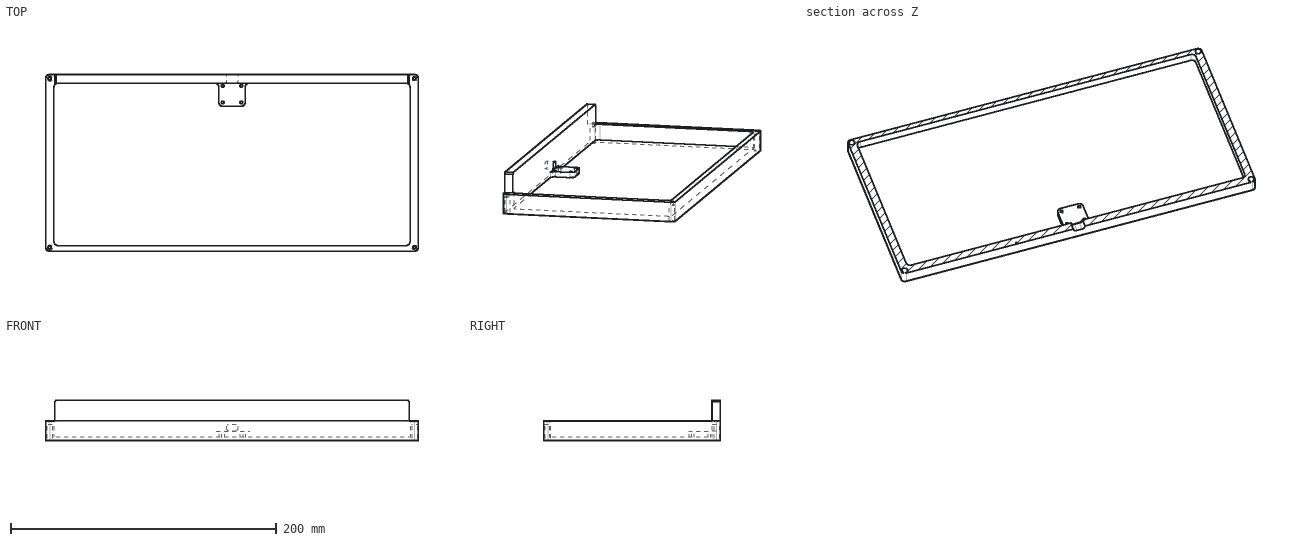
import cadquery as cq

LENGTH = 281.18
WIDTH = 133.41
TRAY_HEIGHT = 15.0
FLOOR = 3.0
SIDE_WALL = 6.3
FRONT_WALL = 4.3
BACK_WALL = 6.5
CORNER_RADIUS = 3.0

TOTAL_HEIGHT = 30.61
BACK_WALL_LENGTH = 267.8
BACK_WALL_CHAMFER = 1.4

CORNER_HOLE_DIAMETER = 2.2
CORNER_HOLE_INSET = CORNER_RADIUS
COUNTERBORE_DIAMETER = 4.0
COUNTERBORE_DEPTH = 12.5

PAD_LENGTH = 20.0
PAD_WIDTH = 17.5
PAD_HEIGHT = 4.0
PAD_RADIUS = 3.0
PAD_HOLE_DIAMETER = 2.0
PAD_HOLE_SPACING_X = 14.0
PAD_HOLE_SPACING_Y = 12.5
PAD_HOLE_BACK_GAP = 2.1

SLOT_LENGTH = 9.0
SLOT_HEIGHT = 5.0
SLOT_CENTER_Z = 10.0

CAVITY_LENGTH = LENGTH - 2 * SIDE_WALL
CAVITY_FRONT = -WIDTH / 2 + FRONT_WALL
CAVITY_BACK = WIDTH / 2 - BACK_WALL
CAVITY_WIDTH = CAVITY_BACK - CAVITY_FRONT


def block(length, width, height, y_front, z_bottom):
    """Box centred on X, starting at y_front and z_bottom."""
    base = cq.Workplane("XY", origin=(0, y_front, z_bottom))
    return base.box(length, width, height, centered=(True, False, False))


def tray():
    """Open tray with rounded corners inside and out."""
    outer = block(LENGTH, WIDTH, TRAY_HEIGHT, -WIDTH / 2, 0)
    cavity = block(CAVITY_LENGTH, CAVITY_WIDTH, TRAY_HEIGHT - FLOOR, CAVITY_FRONT, FLOOR)
    return outer.edges("|Z").fillet(CORNER_RADIUS).cut(cavity.edges("|Z").fillet(CORNER_RADIUS))


def back_wall():
    """Tall wall along the back, with both upper ends chamfered."""
    wall = block(BACK_WALL_LENGTH, BACK_WALL, TOTAL_HEIGHT - FLOOR, CAVITY_BACK, FLOOR)
    return wall.edges(">Z and |Y").chamfer(BACK_WALL_CHAMFER)


def pad():
    """Pad with rounded front corners and concave fillets where its sides meet the back wall."""
    half = PAD_LENGTH / 2
    body = block(PAD_LENGTH, PAD_WIDTH, PAD_HEIGHT, CAVITY_BACK - PAD_WIDTH, FLOOR)
    body = body.edges("|Z and <Y").fillet(PAD_RADIUS)
    for side in (-1, 1):
        flare = (
            cq.Workplane("XY", origin=(0, 0, FLOOR))
            .moveTo(side * half, CAVITY_BACK)
            .lineTo(side * half, CAVITY_BACK - PAD_RADIUS)
            .radiusArc((side * (half + PAD_RADIUS), CAVITY_BACK), side * PAD_RADIUS)
            .close()
            .extrude(PAD_HEIGHT)
        )
        body = body.union(flare)
    return body


def corner_holes():
    """Through holes in the four tray corners and the wider counterbores below them."""
    spacing_x = LENGTH - 2 * CORNER_HOLE_INSET
    spacing_y = WIDTH - 2 * CORNER_HOLE_INSET
    pattern = cq.Workplane("XY").rect(spacing_x, spacing_y, forConstruction=True).vertices()
    holes = pattern.circle(CORNER_HOLE_DIAMETER / 2).extrude(TRAY_HEIGHT)
    counterbores = pattern.circle(COUNTERBORE_DIAMETER / 2).extrude(COUNTERBORE_DEPTH)
    return holes.union(counterbores)


def pad_holes():
    """Four screw holes as deep as the pad."""
    y = CAVITY_BACK - PAD_HOLE_BACK_GAP - PAD_HOLE_SPACING_Y / 2
    return (
        cq.Workplane("XY", origin=(0, y, FLOOR))
        .rect(PAD_HOLE_SPACING_X, PAD_HOLE_SPACING_Y, forConstruction=True)
        .vertices()
        .circle(PAD_HOLE_DIAMETER / 2)
        .extrude(PAD_HEIGHT)
    )


def cable_slot():
    """Slot with round ends, running through the back wall."""
    return (
        cq.Workplane("XZ", origin=(0, WIDTH / 2, SLOT_CENTER_Z))
        .slot2D(SLOT_LENGTH, SLOT_HEIGHT)
        .extrude(BACK_WALL)
    )


result = tray().union(back_wall()).union(pad())
result = result.cut(corner_holes()).cut(pad_holes()).cut(cable_slot())